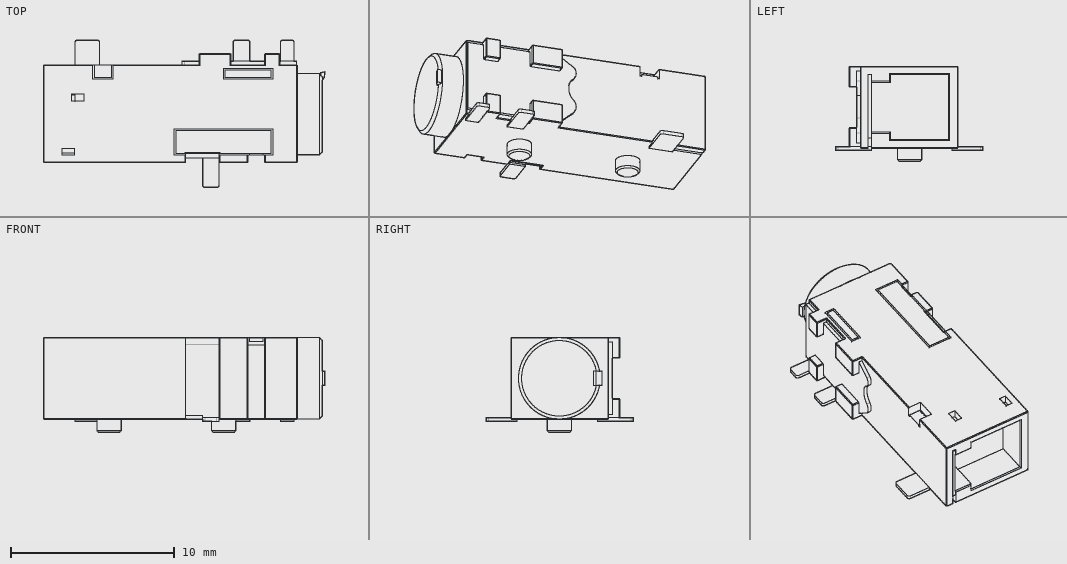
import cadquery as cq


body_length = 15.5
body_width = 5.97
body_height = 5.0
edge_break = 0.05

barrel_end = 17.03
barrel_radius = 2.5
barrel_chamfer = 0.19
axis_y = 2.95
axis_z = body_height / 2

tip_outline = ((16.92, 4.99), (17.01, 5.0), (17.15, 5.21), (17.2, 5.55), (16.92, 5.5))
tip_height = 0.86

cavity_depth = 1.95
cavity_flare = 0.07
cavity_near_y = 0.58
cavity_far_y = 5.28
cavity_bottom = 0.53
cavity_top = 4.5
guide_near_y = 4.13
upper_guide_z = 4.02
lower_guide_z = 0.98

slot_width = 0.22
slot_depth = 0.05
slot_foot_height = 0.64

leg_x = (8.69, 10.73)
leg_y = 0.28
leg_bend_z = 4.58
leg_bottom_gap = 0.22

notch_x = (12.49, 13.5)
notch_depth = 0.46
lip_x = (12.57, 13.4)
lip_bottom = body_height - 0.25
lip_top = body_height - edge_break

rib_reach = 0.69
rib_height = 1.27
rib_root = 0.17
long_rib_x = (9.5, 11.45)
short_rib_x = (13.5, 14.45)
plate_reach = 0.22
plate_end = 15.46
plate_bottom = 0.3
plate_top = 4.73
plate_slope_x = 9.53
upper_lobe = ((8.6, 4.1), (8.46, 3.7), (8.77, 3.23))
lobe_valley = (8.95, 2.58)
lower_lobe = ((8.6, 1.85), (8.46, 1.46), (8.77, 0.95))

panel_x = (7.98, 14.0)
panel_y = (notch_depth, 2.06)
small_panel_x = (10.99, 14.0)
small_panel_y = (5.1, 5.75)
groove_width = 0.1
groove_depth = 0.46
panel_edge_y = panel_y[0] + groove_width

recess_x = (3.01, 4.25)
recess_reach = 0.86
recess_depth = 0.65
recess_floor_depth = 0.55
recess_gap = 0.1

far_window_x = (1.72, 2.5)
far_window_y = (3.75, 4.2)
near_window_x = (1.15, 1.9)
near_window_y = (0.46, 0.88)

tab_thickness = 0.22
tab_drop = 0.12
tab_corner = 0.15
far_tab_x = ((1.93, 3.44), (11.58, 12.6), (14.47, 15.3))
far_tab_root = cavity_far_y
far_tab_end = 7.48
front_tab_x = (9.72, leg_x[1])
front_tab_root = 0.38
front_tab_end = -1.51

pin_diameter = 1.5
pin_length = 0.79
pin_chamfer = 0.1
pin_x = (4.0, 11.0)


def box(x_range, y_range, z_range):
    """Axis-aligned block spanning the three given ranges."""
    size = [high - low for low, high in (x_range, y_range, z_range)]
    corner = (x_range[0], y_range[0], z_range[0])
    return cq.Workplane("XY").box(*size, centered=False).translate(corner)


def housing():
    """Main block, its front side notched, with broken outer edges."""
    outline = (
        (0, 0),
        (leg_x[0], 0),
        (leg_x[0], panel_edge_y),
        (leg_x[1], panel_edge_y),
        (leg_x[1], 0),
        (notch_x[0], 0),
        (notch_x[0], notch_depth),
        (notch_x[1], notch_depth),
        (notch_x[1], 0),
        (body_length, 0),
        (body_length, body_width),
        (0, body_width),
    )
    block = cq.Workplane("XY").polyline(outline).close().extrude(body_height)
    corners = block.faces("<Y or >Y").edges("|Z")
    block = corners.filter(lambda edge: abs(edge.Center().x - leg_x[0]) > edge_break).chamfer(edge_break)
    return block.faces("<Z or >Z").edges().chamfer(edge_break)


def rib(x_range, bottom):
    """Block standing out of the far side, rooted in the housing."""
    y_range = (body_width - rib_root, body_width + rib_reach)
    return box(x_range, y_range, (bottom, bottom + rib_height)).edges().chamfer(edge_break)


def contact_plate():
    """Thin plate on the far side with two rounded lobes on its rear edge."""
    return (
        cq.Workplane("XZ", origin=(0, body_width, 0))
        .moveTo(plate_end, plate_bottom)
        .lineTo(plate_end, plate_top)
        .lineTo(plate_slope_x, plate_top)
        .lineTo(*upper_lobe[0])
        .threePointArc(upper_lobe[1], upper_lobe[2])
        .threePointArc(lobe_valley, lower_lobe[0])
        .threePointArc(lower_lobe[1], lower_lobe[2])
        .lineTo(plate_slope_x, plate_bottom)
        .close()
        .extrude(-plate_reach)
    )


def cavity():
    """Rear opening narrowed by a guide block in each far corner."""
    profile = (
        cq.Workplane("YZ")
        .moveTo(cavity_near_y, cavity_bottom)
        .lineTo(guide_near_y, cavity_bottom)
        .lineTo(guide_near_y, lower_guide_z)
        .lineTo(cavity_far_y, lower_guide_z)
        .lineTo(cavity_far_y, upper_guide_z)
        .lineTo(guide_near_y, upper_guide_z)
        .lineTo(guide_near_y, cavity_top)
        .lineTo(cavity_near_y, cavity_top)
        .close()
    )
    opening = profile.extrude(cavity_depth)
    flare = profile.toPending().offset2D(cavity_flare, "intersection").extrude(cavity_flare, taper=45)
    return opening.union(flare)


def contact_slot():
    """Shallow upright slot beside the cavity, deeper at its foot."""
    slot_y = (cavity_far_y, cavity_far_y + slot_width)
    foot = box((0, cavity_depth), slot_y, (0, slot_foot_height))
    return box((0, slot_depth), slot_y, (0, cavity_top)).union(foot)


def panel_groove(x_range, y_range):
    """Narrow rectangular groove in the top face that outlines an inset panel."""
    z_range = (body_height - groove_depth, body_height)
    inner_x = (x_range[0] + groove_width, x_range[1] - groove_width)
    inner_y = (y_range[0] + groove_width, y_range[1] - groove_width)
    return box(x_range, y_range, z_range).cut(box(inner_x, inner_y, z_range))


def contact_leg():
    """Upright leg whose top bends over to meet the inset panel."""
    leg = (
        cq.Workplane("YZ", origin=(leg_x[0], 0, 0))
        .moveTo(panel_edge_y, 0)
        .lineTo(leg_y, 0)
        .lineTo(leg_y, leg_bend_z)
        .tangentArcPoint((panel_edge_y, body_height), relative=False)
        .close()
        .extrude(leg_x[1] - leg_x[0])
    )
    gap_x = (leg_x[0], front_tab_x[0])
    return leg.cut(box(gap_x, (0, notch_depth), (0, leg_bottom_gap)))


def edge_recess():
    """Recess in the far top edge, deepest in a narrow gap around its floor."""
    back = body_width - recess_reach
    recess = box(recess_x, (back, body_width), (body_height - recess_depth, body_height))
    floor_x = (recess_x[0] + recess_gap, recess_x[1] - recess_gap)
    floor_y = (back + recess_gap, body_width)
    floor_z = (body_height - recess_depth, body_height - recess_floor_depth)
    return recess.cut(box(floor_x, floor_y, floor_z))


def barrel():
    """Round plug barrel, chamfered at its outer end."""
    return (
        cq.Workplane("YZ", origin=(body_length, axis_y, axis_z))
        .circle(barrel_radius)
        .extrude(barrel_end - body_length)
        .faces(">X")
        .chamfer(barrel_chamfer)
    )


def latch_tip():
    """Small leaning tip at mid height on the barrel face."""
    plane = cq.Workplane("XY", origin=(0, 0, axis_z))
    return plane.polyline(tip_outline).close().extrude(tip_height / 2, both=True)


def solder_tab(x_range, root_y, end_y):
    """Flat tab at the seating plane, its two outer corners rounded."""
    y_range = (min(root_y, end_y), max(root_y, end_y))
    outer_edges = "|Z and >Y" if end_y > root_y else "|Z and <Y"
    tab = box(x_range, y_range, (-tab_drop, tab_thickness - tab_drop))
    return tab.edges(outer_edges).fillet(tab_corner)


def locating_pin(x):
    """Round pin below the housing, chamfered at its lower end."""
    return (
        cq.Workplane("XY", origin=(x, axis_y, 0))
        .circle(pin_diameter / 2)
        .extrude(-pin_length)
        .faces("<Z")
        .chamfer(pin_chamfer)
    )


body = housing()

for rib_x in (long_rib_x, short_rib_x):
    for rib_bottom in (0, body_height - rib_height):
        body = body.union(rib(rib_x, rib_bottom))
body = body.union(contact_plate())

body = body.cut(cavity())
body = body.cut(contact_slot())

body = body.cut(panel_groove(panel_x, panel_y))
body = body.cut(panel_groove(small_panel_x, small_panel_y))
body = body.cut(edge_recess())
window_z = (cavity_top, body_height)
body = body.cut(box(far_window_x, far_window_y, window_z))
body = body.cut(box(near_window_x, near_window_y, window_z))

body = body.union(contact_leg())
lip_y = (notch_depth, panel_edge_y)
body = body.union(box(lip_x, lip_y, (lip_bottom, lip_top)))

body = body.union(barrel())
body = body.union(latch_tip())

for tab_x in far_tab_x:
    body = body.union(solder_tab(tab_x, far_tab_root, far_tab_end))
body = body.union(solder_tab(front_tab_x, front_tab_root, front_tab_end))
for x in pin_x:
    body = body.union(locating_pin(x))

result = body